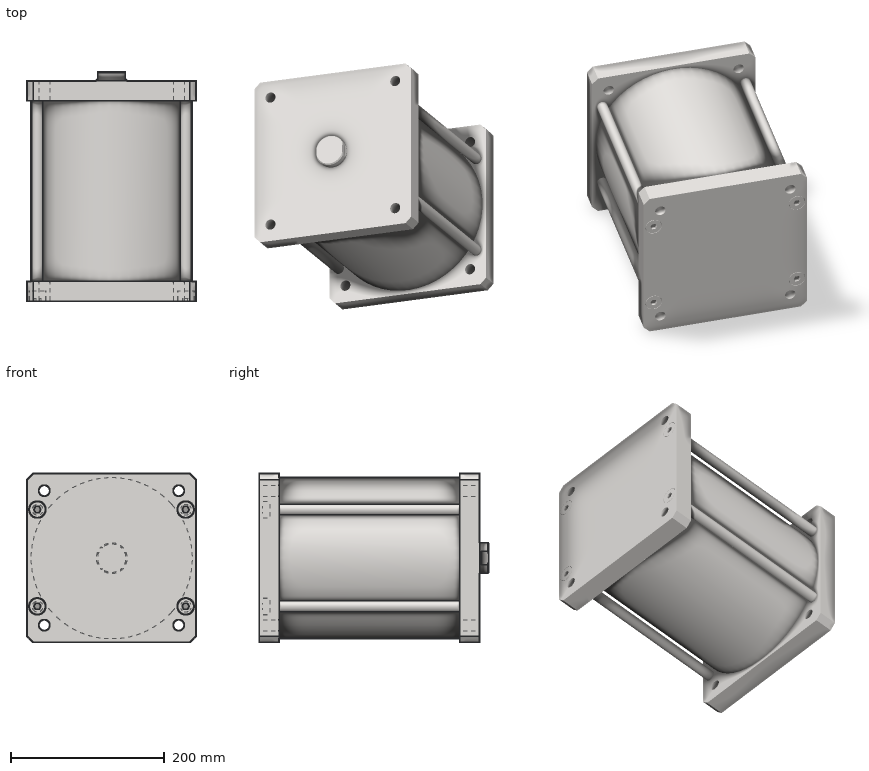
import cadquery as cq
import math

PLATE_SIZE = 220.0
PLATE_THICKNESS = 26.0
CORNER_CHAMFER = 8.0
MOUNT_HOLE_DIAMETER = 14.0
MOUNT_HOLE_SPACING = 175.0

BARREL_DIAMETER = 210.0
BARREL_LENGTH = 235.0

TIE_ROD_DIAMETER = 14.0
TIE_ROD_SPACING_X = 193.0
TIE_ROD_SPACING_Z = 126.0
HEAD_DIAMETER = 21.0
COUNTERBORE_DIAMETER = 22.0
COUNTERBORE_DEPTH = 14.0
SOCKET_ACROSS_FLATS = 8.0
SOCKET_ACROSS_CORNERS = SOCKET_ACROSS_FLATS / math.cos(math.pi / 6)
SOCKET_DEPTH = 4.0

PISTON_ROD_DIAMETER = 40.0
PISTON_ROD_PROTRUSION = 12.0
PISTON_ROD_CHAMFER = 1.5
WRENCH_FLAT_WIDTH = 36.0
WRENCH_FLAT_LENGTH = 9.5
FLAT_RUNOUT_ANGLE = math.radians(45)

FRONT_FACE = 0.0
BARREL_START = FRONT_FACE + PLATE_THICKNESS
BARREL_END = BARREL_START + BARREL_LENGTH
REAR_FACE = BARREL_END + PLATE_THICKNESS
ROD_TIP = REAR_FACE + PISTON_ROD_PROTRUSION


def plane_at(y):
    """Sketch plane at station y; positive extrusion runs toward +Y."""
    return cq.Workplane(cq.Plane(origin=(0, y, 0), xDir=(1, 0, 0), normal=(0, 1, 0)))


def tie_rod_points(y):
    """The four tie rod centres at station y."""
    return plane_at(y).rarray(TIE_ROD_SPACING_X, TIE_ROD_SPACING_Z, 2, 2)


def end_plate(y):
    plate = plane_at(y).rect(PLATE_SIZE, PLATE_SIZE).extrude(PLATE_THICKNESS)
    plate = plate.edges("|Y").chamfer(CORNER_CHAMFER)
    holes = (
        plane_at(y)
        .rarray(MOUNT_HOLE_SPACING, MOUNT_HOLE_SPACING, 2, 2)
        .circle(MOUNT_HOLE_DIAMETER / 2)
        .extrude(PLATE_THICKNESS)
    )
    return plate.cut(holes)


def barrel():
    return plane_at(BARREL_START).circle(BARREL_DIAMETER / 2).extrude(BARREL_LENGTH)


def tie_rods():
    return tie_rod_points(BARREL_START).circle(TIE_ROD_DIAMETER / 2).extrude(BARREL_LENGTH)


def counterbores():
    return tie_rod_points(FRONT_FACE).circle(COUNTERBORE_DIAMETER / 2).extrude(COUNTERBORE_DEPTH)


def socket_heads():
    """Head faces lie flush with the plate, leaving a thin ring of clearance in the counterbores."""
    heads = tie_rod_points(FRONT_FACE).circle(HEAD_DIAMETER / 2).extrude(COUNTERBORE_DEPTH)
    sockets = (
        tie_rod_points(FRONT_FACE)
        .polygon(6, SOCKET_ACROSS_CORNERS)
        .extrude(SOCKET_DEPTH)
    )
    return heads.cut(sockets)


def piston_rod_end():
    rod = plane_at(REAR_FACE).circle(PISTON_ROD_DIAMETER / 2).extrude(PISTON_ROD_PROTRUSION)
    rod = rod.faces(">Y").edges().chamfer(PISTON_ROD_CHAMFER)
    flat_x = WRENCH_FLAT_WIDTH / 2
    outer_x = PISTON_ROD_DIAMETER
    flat_end = ROD_TIP - WRENCH_FLAT_LENGTH
    runout_end = flat_end - (outer_x - flat_x) / math.tan(FLAT_RUNOUT_ANGLE)
    flat_cut = (
        cq.Workplane("XY")
        .polyline([(flat_x, ROD_TIP), (flat_x, flat_end), (outer_x, runout_end), (outer_x, ROD_TIP)])
        .close()
        .extrude(PISTON_ROD_DIAMETER, both=True)
    )
    return rod.cut(flat_cut).cut(flat_cut.mirror("YZ"))


front_plate = end_plate(FRONT_FACE).cut(counterbores()).union(socket_heads())
rear_plate = end_plate(BARREL_END)
result = front_plate.union(barrel()).union(tie_rods()).union(rear_plate).union(piston_rod_end())